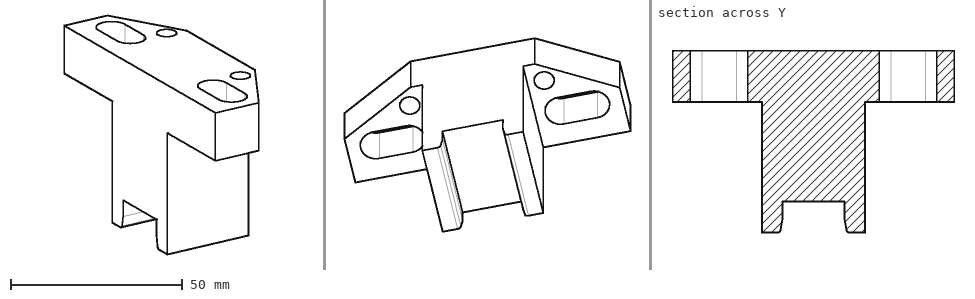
import cadquery as cq
import math

length = 82.0
depth = 28.0
height = 53.0

plate_thickness = 15.0
plate_side_depth = 15.0
corner_angle = 30.0

stem_width = 30.0

groove_width = 18.0
groove_depth = 9.0
flare_height = 4.0
flare_angle = 10.0
lip_radius = 1.0

slot_width = 9.0
slot_length = 19.0
slot_x = 27.5
slot_y = 11.0
pin_hole_diameter = 5.8
pin_hole_x = 20.0
pin_hole_y = 22.0

plate_bottom = height - plate_thickness


def make_plate():
    half_length = length / 2
    corner_run = (depth - plate_side_depth) / math.tan(math.radians(corner_angle))
    rear_x = half_length - corner_run
    outline = [
        (-half_length, 0),
        (half_length, 0),
        (half_length, plate_side_depth),
        (rear_x, depth),
        (-rear_x, depth),
        (-half_length, plate_side_depth),
    ]
    return cq.Workplane("XY").workplane(offset=plate_bottom).polyline(outline).close().extrude(plate_thickness)


def make_stem():
    half_stem = stem_width / 2
    half_groove = groove_width / 2
    half_mouth = half_groove + flare_height * math.tan(math.radians(flare_angle))
    profile = [
        (-half_stem, plate_bottom),
        (-half_stem, 0),
        (-half_mouth, 0),
        (-half_groove, flare_height),
        (-half_groove, groove_depth),
        (half_groove, groove_depth),
        (half_groove, flare_height),
        (half_mouth, 0),
        (half_stem, 0),
        (half_stem, plate_bottom),
    ]
    stem = cq.Workplane("XZ").polyline(profile).close().extrude(-depth)
    for side in (-1, 1):
        lip_edge = cq.NearestToPointSelector((side * half_mouth, depth / 2, 0))
        stem = stem.edges("|Y").edges(lip_edge).fillet(lip_radius)
    return stem


def make_plate_openings():
    openings = cq.Workplane("XY").workplane(offset=plate_bottom)
    slots = (
        openings.pushPoints([(-slot_x, slot_y), (slot_x, slot_y)])
        .slot2D(slot_length, slot_width)
        .extrude(plate_thickness)
    )
    pin_holes = (
        openings.pushPoints([(-pin_hole_x, pin_hole_y), (pin_hole_x, pin_hole_y)])
        .circle(pin_hole_diameter / 2)
        .extrude(plate_thickness)
    )
    return slots.union(pin_holes)


result = make_plate().union(make_stem()).cut(make_plate_openings())